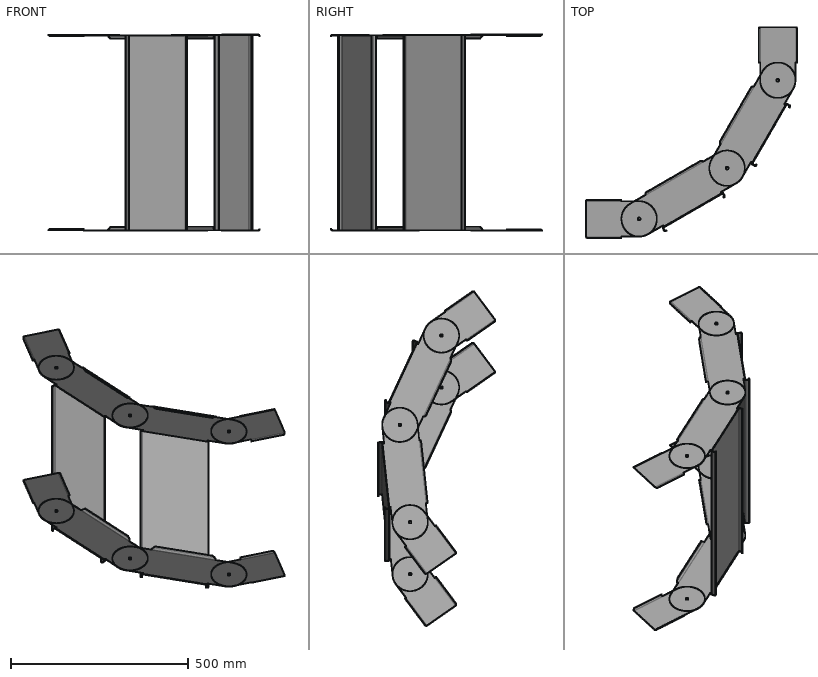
import cadquery as cq
import math

total_height = 553.5
joint_spacing = 286.0
bend_angle = 30.0
joint_radius = 50.0
joint_hole_diameter = 7.0
tab_length = 150.0
sheet = 1.0

lower_tab_layers = {"top": 1, "bottom": 1}
lower_link_layers = {"top": 2, "bottom": 0}
upper_tab_layers = {"top": 0, "bottom": 0}
upper_link_layers = {"top": 1, "bottom": 1}

link_flange_bend = 5.5
link_flange_height = 11.0
link_flange_length = 187.0
tab_flange_bend = 4.0
tab_flange_height = 5.0
tab_flange_length = tab_length - joint_radius

tongue_width = 3.5
cross_plate_length = 197.5
cross_plate_thickness = 2.0
hook_depth = 13.5
hook_lip = 6.0
hook_bend = 3.0

half_height = total_height / 2
mirror_line_angle = 45.0


def strip(x_start, x_end, top):
    """Flat sheet strip, as wide as a joint, whose upper face is at `top`."""
    return (
        cq.Workplane("XY", origin=((x_start + x_end) / 2, 0, top - sheet))
        .rect(x_end - x_start, 2 * joint_radius)
        .extrude(sheet)
    )


def joint_disc(x, top):
    """Round end of a sheet, centred on a joint axis."""
    return cq.Workplane("XY", origin=(x, 0, top - sheet)).circle(joint_radius).extrude(sheet)


def flange(x_start, x_end, top, bend, height, bevel_both_ends):
    """Flange bent down from the +Y edge; its start, and if asked its end, is bevelled at 45 degrees."""
    inner_bend = bend - sheet
    half_turn = math.sqrt(0.5)
    bent_sheet = (
        cq.Workplane("YZ", origin=(x_start, joint_radius, top))
        .moveTo(0, 0)
        .threePointArc((bend * half_turn, bend * half_turn - bend), (bend, -bend))
        .lineTo(bend, -height)
        .lineTo(inner_bend, -height)
        .lineTo(inner_bend, -bend)
        .threePointArc((inner_bend * half_turn, inner_bend * half_turn - bend), (0, -sheet))
        .close()
        .extrude(x_end - x_start)
    )
    end_bevel = height if bevel_both_ends else 0
    side_outline = (
        cq.Workplane("XZ", origin=(0, joint_radius + bend, top))
        .moveTo(x_start, 0)
        .lineTo(x_end, 0)
        .lineTo(x_end - end_bevel, -height)
        .lineTo(x_start + height, -height)
        .close()
        .extrude(bend)
    )
    return bent_sheet.intersect(side_outline)


def tab(top):
    """Short end strip with a flange along both sides, reaching from the joint towards -X."""
    side_flange = flange(
        -tab_length, tab_flange_length - tab_length, top, tab_flange_bend, tab_flange_height, False
    )
    return (
        strip(-tab_length, 0, top)
        .union(joint_disc(0, top))
        .union(side_flange)
        .union(side_flange.mirror("XZ"))
    )


def tongue(top):
    """Widened stretch along the outer edge of a link that carries the cross plate."""
    return (
        cq.Workplane("XY", origin=(joint_spacing / 2, -joint_radius - tongue_width / 2, top - sheet))
        .rect(link_flange_length, tongue_width)
        .extrude(sheet)
    )


def link(top):
    """Strip between two joints with a flange on its inner side and a tongue on its outer side."""
    flange_start = (joint_spacing - link_flange_length) / 2
    flange_end = flange_start + link_flange_length
    inner_flange = flange(flange_start, flange_end, top, link_flange_bend, link_flange_height, True)
    return (
        strip(0, joint_spacing, top)
        .union(joint_disc(0, top))
        .union(joint_disc(joint_spacing, top))
        .union(inner_flange)
        .union(tongue(top))
    )


def cross_plate(bottom, top):
    """Upright sheet on the outer side of the links, its ends hooked outward and back."""
    height = top - bottom
    inner_length = cross_plate_length - 2 * cross_plate_thickness
    inner_depth = hook_depth - 2 * cross_plate_thickness
    mouth_length = cross_plate_length - 2 * hook_lip
    base = cq.Workplane("XY", origin=(joint_spacing / 2, -joint_radius - tongue_width, bottom))
    outside = base.center(0, -hook_depth / 2).rect(cross_plate_length, hook_depth).extrude(height)
    outside = outside.edges("|Z").fillet(hook_bend)
    inside = (
        cq.Workplane("XY", origin=(joint_spacing / 2, -joint_radius - tongue_width - hook_depth / 2, bottom))
        .rect(inner_length, inner_depth)
        .extrude(height)
    )
    inside = inside.edges("|Z").fillet(hook_bend - cross_plate_thickness)
    mouth = (
        cq.Workplane("XY", origin=(joint_spacing / 2, -joint_radius - tongue_width - hook_depth, bottom))
        .rect(mouth_length, hook_depth)
        .extrude(height)
    )
    return outside.cut(inside).cut(mouth)


def side(tab_layer, link_layer):
    """Tab and link of the top side, the tab turned away from the link by the bend angle."""
    turned_tab = tab(half_height - tab_layer * sheet).rotate((0, 0, 0), (0, 0, 1), -bend_angle)
    return link(half_height - link_layer * sheet).union(turned_tab)


def segment(tab_layers, link_layers):
    """Half of the frame, running from its tabs up to the middle joint."""
    top_side = side(tab_layers["top"], link_layers["top"])
    bottom_side = side(tab_layers["bottom"], link_layers["bottom"]).mirror("XY")
    plate_top = half_height - link_layers["top"] * sheet
    plate_bottom = link_layers["bottom"] * sheet - half_height
    joint_holes = (
        cq.Workplane("XY", origin=(0, 0, -half_height))
        .pushPoints([(0, 0), (joint_spacing, 0)])
        .circle(joint_hole_diameter / 2)
        .extrude(total_height)
    )
    return (
        top_side.union(bottom_side)
        .union(cross_plate(plate_bottom, plate_top))
        .cut(joint_holes)
        .translate((-joint_spacing, 0, 0))
        .rotate((0, 0, 0), (0, 0, 1), bend_angle)
    )


lower_segment = segment(lower_tab_layers, lower_link_layers)

upper_segment = (
    segment(upper_tab_layers, upper_link_layers)
    .rotate((0, 0, 0), (0, 0, 1), -mirror_line_angle)
    .mirror("YZ")
    .rotate((0, 0, 0), (0, 0, 1), mirror_line_angle)
)

result = cq.Compound.makeCompound([lower_segment.val(), upper_segment.val()])